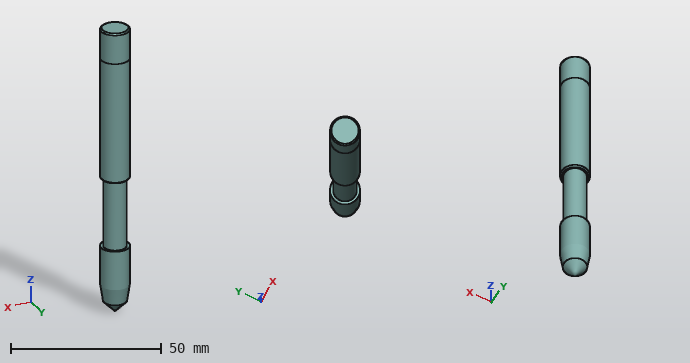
import cadquery as cq

total_length = 104.1
body_radius = 5.0
edge_chamfer = 0.5

cap_length = 11.0

grip_end_depth = 55.1
neck_end_depth = 80.0
head_end_depth = 94.0
neck_radius = 4.0
point_radius = 4.1
point_length = point_radius

top_z = total_length / 2
tip_z = -total_length / 2
cap_bottom_z = top_z - cap_length
grip_bottom_z = top_z - grip_end_depth
head_top_z = top_z - neck_end_depth
taper_top_z = top_z - head_end_depth
point_base_z = tip_z + point_length


def make_cap():
    """Plain cylinder with a chamfered top edge, seated flush on the grip."""
    cap = cq.Workplane("XY").workplane(offset=cap_bottom_z).circle(body_radius).extrude(cap_length)
    return cap.faces(">Z").chamfer(edge_chamfer)


def make_punch():
    """Turned body: grip, thinner neck, then a tapered head ending in a cone."""
    half_profile = [
        (0, cap_bottom_z),
        (body_radius, cap_bottom_z),
        (body_radius, grip_bottom_z + edge_chamfer),
        (body_radius - edge_chamfer, grip_bottom_z),
        (neck_radius, grip_bottom_z),
        (neck_radius, head_top_z),
        (body_radius, head_top_z),
        (body_radius, taper_top_z),
        (point_radius, point_base_z),
        (0, tip_z),
    ]
    axis_start = (0, 0)
    axis_end = (0, 1)
    return cq.Workplane("XZ").polyline(half_profile).close().revolve(360, axis_start, axis_end)


cap = make_cap()
punch = make_punch()

result = cq.Compound.makeCompound([cap.val(), punch.val()])